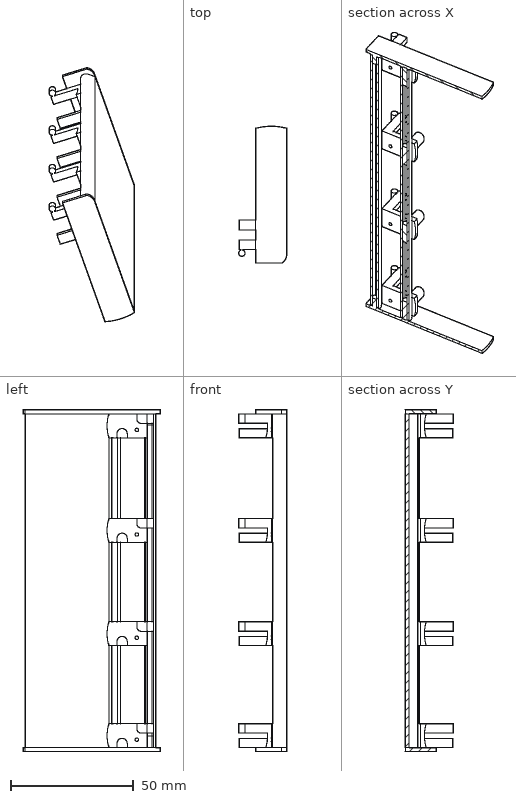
import cadquery as cq
import math

LENGTH = 139.4
WIDTH = 55.9
DEPTH = 19.7
OUTER_X = DEPTH / 2

CAP_THICKNESS = 1.7
CAP_DEPTH = 12.7
CAP_END_SAG = 0.8
CAP_CORNER_X = 2.1
CAP_CORNER_RADIUS = 4.2
CAP_PIN_LENGTH = 4.6

PANEL_THICKNESS = 1.7
PANEL_END_GAP = 0.8
PANEL_LENGTH = LENGTH - 2 * CAP_THICKNESS

RAIL_RADIUS = 2.4
BORE_RADIUS = 1.32
RAIL_X = 6.0
CLIP_RAIL_Y = -9.3
EDGE_RAIL_Y = -23.8
CLIP_RAIL_LIP_ANGLE = 62.0
EDGE_RAIL_INNER_LIP_ANGLE = 57.0
EDGE_RAIL_OUTER_LIP_ANGLE = 36.0
EDGE_TANGENT_ANGLE = 50.0

CLIP_HEIGHT = 9.8
CLIP_PLATE_BACK_X = 3.5
CLIP_PLATE_THICKNESS = 1.5
CLIP_INNER_Y = -7.0
CLIP_OUTER_Y = -22.5
CLIP_EDGE_BULGE = 0.7
CLIP_DISH_SAG = 0.7
CLIP_HOLE_DIAMETER = 1.4
CLIP_HOLE_Y = -18.4
CLIP_HOLE_HEIGHT = 3.2
ARM_TIP_X = -9.6
ARM_WIDTH = 4.0
ARM_HEIGHT = 3.9
ARM_CORNER_RADIUS = 1.8
BEAD_Y = EDGE_RAIL_Y
BEAD_X = BORE_RADIUS - OUTER_X
BEAD_NECK_WIDTH = 0.8
PEG_WIDTH = 4.2
PEG_Y = -12.4
PEG_AXIS_HEIGHT = 1.7
HOOK_NECK_WIDTH = 1.4
CLIP_BOTTOMS = [PANEL_LENGTH / 2 - CLIP_HEIGHT, 15.6, -26.5, -PANEL_LENGTH / 2]


def box(x_range, y_range, z_range):
    """Box between two limits on each axis."""
    size = [high - low for low, high in (x_range, y_range, z_range)]
    return cq.Workplane("XY").box(*size, centered=False).translate((x_range[0], y_range[0], z_range[0]))


def cylinder(x, y, radius, bottom, height):
    """Upright cylinder."""
    return cq.Workplane("XY", origin=(x, y, bottom)).circle(radius).extrude(height)


def rail_point(center_y, radius, angle):
    """Point on a rail; the angle is measured from the -X direction toward +Y."""
    a = math.radians(angle)
    return (RAIL_X - radius * math.cos(a), center_y + radius * math.sin(a))


def rail(center_y, first_lip, last_lip, rounded_lips):
    """C-shaped rail, closed on its +X side, with its mouth between the two lip angles."""
    wall_middle = (RAIL_RADIUS + BORE_RADIUS) / 2
    tip_radius = (RAIL_RADIUS - BORE_RADIUS) / 2
    tip_angle = math.degrees(tip_radius / wall_middle)
    far_angle = (first_lip + last_lip) / 2 + 180
    profile = (
        cq.Workplane("XY", origin=(0, 0, -PANEL_LENGTH / 2))
        .moveTo(*rail_point(center_y, RAIL_RADIUS, first_lip))
        .threePointArc(
            rail_point(center_y, RAIL_RADIUS, far_angle), rail_point(center_y, RAIL_RADIUS, last_lip)
        )
    )
    inner_last = rail_point(center_y, BORE_RADIUS, last_lip)
    if rounded_lips:
        profile = profile.threePointArc(rail_point(center_y, wall_middle, last_lip + tip_angle), inner_last)
    else:
        profile = profile.lineTo(*inner_last)
    profile = profile.threePointArc(
        rail_point(center_y, BORE_RADIUS, far_angle), rail_point(center_y, BORE_RADIUS, first_lip)
    )
    if rounded_lips:
        profile = profile.threePointArc(
            rail_point(center_y, wall_middle, first_lip - tip_angle),
            rail_point(center_y, RAIL_RADIUS, first_lip),
        )
    return profile.close().extrude(PANEL_LENGTH)


def make_panel():
    """Flat panel with the two snap rails on its -X face."""
    inner_x = OUTER_X - PANEL_THICKNESS
    far_y = WIDTH / 2 - PANEL_END_GAP
    tangent = rail_point(EDGE_RAIL_Y, RAIL_RADIUS, -180 + EDGE_TANGENT_ANGLE)
    corner_y = tangent[1] + (OUTER_X - tangent[0]) / math.tan(math.radians(EDGE_TANGENT_ANGLE))
    plate = (
        cq.Workplane("XY", origin=(0, 0, -PANEL_LENGTH / 2))
        .polyline([
            (inner_x, far_y),
            (OUTER_X, far_y),
            (OUTER_X, corner_y),
            tangent,
            (inner_x, EDGE_RAIL_Y),
        ])
        .close()
        .extrude(PANEL_LENGTH)
    )
    clip_rail = rail(CLIP_RAIL_Y, CLIP_RAIL_LIP_ANGLE, -CLIP_RAIL_LIP_ANGLE, True)
    edge_rail = rail(EDGE_RAIL_Y, EDGE_RAIL_INNER_LIP_ANGLE, -EDGE_RAIL_OUTER_LIP_ANGLE, False)
    return plate.union(clip_rail).union(edge_rail)


def make_cap(side):
    """End cap at the top (side = 1) or bottom (side = -1), with a pin that plugs the edge rail."""
    inner_x = OUTER_X - CAP_DEPTH
    end_y = WIDTH / 2
    corner_x = OUTER_X - CAP_CORNER_X
    center_x = OUTER_X - CAP_CORNER_RADIUS
    arc_angle = math.acos((corner_x - center_x) / CAP_CORNER_RADIUS)
    center_y = CAP_CORNER_RADIUS * math.sin(arc_angle) - end_y
    corner_middle = (
        center_x + CAP_CORNER_RADIUS * math.cos(arc_angle / 2),
        center_y - CAP_CORNER_RADIUS * math.sin(arc_angle / 2),
    )
    shoulder_y = end_y - CAP_END_SAG
    inner_z = side * PANEL_LENGTH / 2
    plate = (
        cq.Workplane("XY", origin=(0, 0, inner_z))
        .moveTo(inner_x, -end_y)
        .lineTo(corner_x, -end_y)
        .threePointArc(corner_middle, (OUTER_X, center_y))
        .lineTo(OUTER_X, shoulder_y)
        .threePointArc((OUTER_X - CAP_DEPTH / 2, end_y), (inner_x, shoulder_y))
        .close()
        .extrude(side * CAP_THICKNESS)
    )
    pin = cylinder(RAIL_X, EDGE_RAIL_Y, BORE_RADIUS, inner_z, -side * CAP_PIN_LENGTH)
    return plate.union(pin)


def clip_plate():
    """Upright plate with a dished -X face and a bowed +Y edge."""
    front_x = CLIP_PLATE_BACK_X - CLIP_PLATE_THICKNESS
    rim_x = front_x - CLIP_DISH_SAG
    middle = CLIP_HEIGHT / 2
    side_profile = (
        cq.Workplane("XZ")
        .moveTo(CLIP_PLATE_BACK_X, 0)
        .lineTo(rim_x, 0)
        .threePointArc((front_x, middle), (rim_x, CLIP_HEIGHT))
        .lineTo(CLIP_PLATE_BACK_X, CLIP_HEIGHT)
        .close()
        .extrude(WIDTH / 2)
    )
    outline = (
        cq.Workplane("YZ", origin=(rim_x, 0, 0))
        .moveTo(CLIP_OUTER_Y, 0)
        .lineTo(CLIP_INNER_Y, 0)
        .threePointArc((CLIP_INNER_Y + CLIP_EDGE_BULGE, middle), (CLIP_INNER_Y, CLIP_HEIGHT))
        .lineTo(CLIP_OUTER_Y, CLIP_HEIGHT)
        .close()
        .extrude(CLIP_PLATE_BACK_X - rim_x)
    )
    return side_profile.intersect(outline)


def clip_arm():
    """Arm along the top of the clip, ending in a round bead."""
    bottom = CLIP_HEIGHT - ARM_HEIGHT
    inner_y = CLIP_OUTER_Y + ARM_WIDTH
    arm = (
        box((ARM_TIP_X, CLIP_PLATE_BACK_X), (CLIP_OUTER_Y, inner_y), (bottom, CLIP_HEIGHT))
        .edges("|X and >Y and <Z")
        .fillet(ARM_CORNER_RADIUS)
    )
    half = BEAD_NECK_WIDTH / 2
    neck = box((BEAD_X - half, BEAD_X + half), (BEAD_Y, CLIP_OUTER_Y), (bottom, CLIP_HEIGHT))
    bead = cylinder(BEAD_X, BEAD_Y, BORE_RADIUS, bottom, ARM_HEIGHT)
    return arm.union(neck).union(bead)


def clip_peg():
    """Peg along the bottom of the clip, round on top and flat below."""
    half = PEG_WIDTH / 2
    return (
        cq.Workplane("YZ", origin=(ARM_TIP_X, 0, 0))
        .moveTo(PEG_Y - half, 0)
        .lineTo(PEG_Y - half, PEG_AXIS_HEIGHT)
        .threePointArc((PEG_Y, PEG_AXIS_HEIGHT + half), (PEG_Y + half, PEG_AXIS_HEIGHT))
        .lineTo(PEG_Y + half, 0)
        .close()
        .extrude(CLIP_PLATE_BACK_X - ARM_TIP_X)
    )


def clip_hook():
    """Round hook behind the plate that snaps into the clip rail."""
    half = HOOK_NECK_WIDTH / 2
    neck = box((CLIP_PLATE_BACK_X, RAIL_X), (CLIP_RAIL_Y - half, CLIP_RAIL_Y + half), (0, CLIP_HEIGHT))
    return neck.union(cylinder(RAIL_X, CLIP_RAIL_Y, BORE_RADIUS, 0, CLIP_HEIGHT))


def make_clip(bottom):
    """One clip, standing at the given height."""
    hole = (
        cq.Workplane("YZ", origin=(0, CLIP_HOLE_Y, CLIP_HOLE_HEIGHT))
        .circle(CLIP_HOLE_DIAMETER / 2)
        .extrude(CLIP_PLATE_BACK_X)
    )
    clip = clip_plate().union(clip_arm()).union(clip_peg()).union(clip_hook()).cut(hole)
    return clip.translate((0, 0, bottom))


panel = make_panel()
caps = [make_cap(side) for side in (1, -1)]
clips = [make_clip(bottom) for bottom in CLIP_BOTTOMS]

result = cq.Compound.makeCompound([
    panel.val(),
    *[cap.val() for cap in caps],
    *[clip.val() for clip in clips],
])